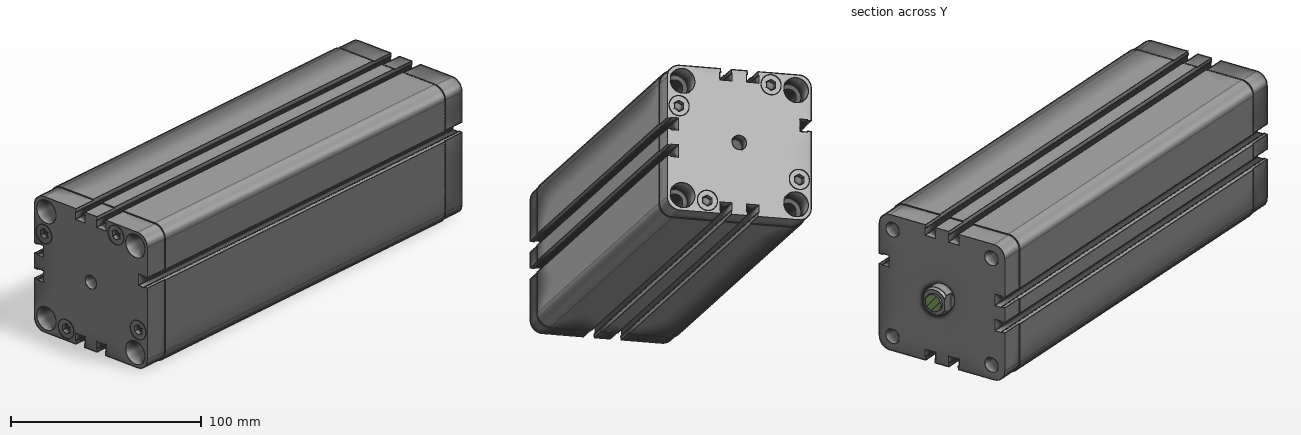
import cadquery as cq
import math

TOTAL_LENGTH = 281.5
TUBE_WIDTH = 80.0
CAP_STEP = 0.5
CAP_LENGTH = 13.8
CORNER_RADIUS = 7.3

ROD_EXPOSED = 31.5
ROD_DIAMETER = 16.0
THREAD_DIAMETER = 12.0
NECK_DIAMETER = 10.0
TIP_CHAMFER_LENGTH = 2.8
THREAD_LENGTH = 21.7
THREAD_END_CHAMFER = 0.8
NECK_LENGTH = 2.5
ROD_CHAMFER_LENGTH = 1.7
ROD_CHAMFER_DEPTH = 0.8
WRENCH_WIDTH = 13.0
WRENCH_LENGTH = 6.0

SLOT_OFFSET = 7.3
SENSOR_SLOT_OFFSET = 12.0
SLOT_MOUTH = 5.5
SLOT_MOUTH_OUTER = 6.2
SLOT_WIDTH = 6.8
SLOT_DEPTH = 6.8
SLOT_LIP = 2.5

HOLE_SPACING = 62.2
HOLE_DIAMETER = 8.5
COUNTERBORE_DIAMETER = 13.5
COUNTERBORE_DEPTH = CAP_LENGTH

SCREW_FROM_CENTRE = 33.0
SCREW_SIDE_OFFSET = 17.5
SCREW_RECESS_DIAMETER = 11.0
SCREW_RECESS_DEPTH = 0.3
SOCKET_WIDTH = 5.0
SOCKET_DEPTH = 3.5

CENTRE_HOLE_DIAMETER = 8.0
CENTRE_HOLE_DEPTH = 8.5

BACK = -TOTAL_LENGTH / 2
TIP = TOTAL_LENGTH / 2
FRONT = TIP - ROD_EXPOSED
BODY_LENGTH = FRONT - BACK
HALF_WIDTH = TUBE_WIDTH / 2


def section_plane(y):
    """Workplane across the length at Y = y, with local x = X, local y = Z and normal = -Y."""
    return cq.Workplane("XZ", origin=(0, y, 0))


def rounded_bar(width, radius, start, end):
    bar = section_plane(start).rect(width, width).extrude(start - end)
    return bar.edges("|Y").fillet(radius)


def make_body():
    cap_width = TUBE_WIDTH - 2 * CAP_STEP
    caps = rounded_bar(cap_width, CORNER_RADIUS - CAP_STEP, BACK, FRONT)
    tube = rounded_bar(TUBE_WIDTH, CORNER_RADIUS, BACK + CAP_LENGTH, FRONT - CAP_LENGTH)
    return caps.union(tube)


def slot_cutter(offset, face_angle):
    """T-slot of the +Z face at X = offset, turned about Y to another face."""
    floor = HALF_WIDTH - SLOT_DEPTH
    lip_inside = HALF_WIDTH - SLOT_LIP
    chamber = SLOT_WIDTH / 2
    mouth = SLOT_MOUTH / 2
    mouth_outer = SLOT_MOUTH_OUTER / 2
    cutter = (
        section_plane(BACK)
        .moveTo(offset - chamber, floor)
        .lineTo(offset + chamber, floor)
        .lineTo(offset + chamber, lip_inside)
        .lineTo(offset + mouth, lip_inside)
        .lineTo(offset + mouth_outer, HALF_WIDTH)
        .lineTo(offset - mouth_outer, HALF_WIDTH)
        .lineTo(offset - mouth, lip_inside)
        .lineTo(offset - chamber, lip_inside)
        .close()
        .extrude(-BODY_LENGTH)
    )
    return cutter.rotate((0, 0, 0), (0, 1, 0), face_angle)


def cut_slots(body):
    for face_angle in (0, 180, 270):
        for offset in (-SLOT_OFFSET, SLOT_OFFSET):
            body = body.cut(slot_cutter(offset, face_angle))
    return body.cut(slot_cutter(-SENSOR_SLOT_OFFSET, 90))


def cut_mounting_holes(body):
    """Holes through the full length, counterbored from the -Y face."""
    for diameter, depth in ((HOLE_DIAMETER, BODY_LENGTH), (COUNTERBORE_DIAMETER, COUNTERBORE_DEPTH)):
        corners = section_plane(BACK).rect(HOLE_SPACING, HOLE_SPACING, forConstruction=True).vertices()
        body = body.cut(corners.circle(diameter / 2).extrude(-depth))
    return body


def cut_cap_screws(body):
    across_corners = SOCKET_WIDTH / math.cos(math.pi / 6)
    centres = (
        (SCREW_SIDE_OFFSET, SCREW_FROM_CENTRE),
        (SCREW_FROM_CENTRE, -SCREW_SIDE_OFFSET),
        (-SCREW_SIDE_OFFSET, -SCREW_FROM_CENTRE),
        (-SCREW_FROM_CENTRE, SCREW_SIDE_OFFSET),
    )
    heads = section_plane(BACK).pushPoints(centres)
    recesses = heads.circle(SCREW_RECESS_DIAMETER / 2).extrude(-SCREW_RECESS_DEPTH)
    socket = section_plane(BACK).transformed(rotate=(0, 0, 30)).polygon(6, across_corners)
    socket = socket.extrude(-SCREW_RECESS_DEPTH - SOCKET_DEPTH)
    for x, z in centres:
        recesses = recesses.union(socket.translate((x, 0, z)))
    return body.cut(recesses)


def cut_centre_hole(body):
    hole = section_plane(BACK).circle(CENTRE_HOLE_DIAMETER / 2).extrude(-CENTRE_HOLE_DEPTH)
    return body.cut(hole)


def make_rod():
    neck_radius = NECK_DIAMETER / 2
    thread_radius = THREAD_DIAMETER / 2
    rod_radius = ROD_DIAMETER / 2
    thread_end = TIP - THREAD_LENGTH
    shoulder = thread_end - NECK_LENGTH
    root = FRONT - CAP_LENGTH
    rod = (
        cq.Workplane("XY")
        .moveTo(0, TIP)
        .lineTo(neck_radius, TIP)
        .lineTo(thread_radius, TIP - TIP_CHAMFER_LENGTH)
        .lineTo(thread_radius, thread_end + THREAD_END_CHAMFER)
        .lineTo(neck_radius, thread_end)
        .lineTo(neck_radius, shoulder)
        .lineTo(rod_radius - ROD_CHAMFER_DEPTH, shoulder)
        .lineTo(rod_radius, shoulder - ROD_CHAMFER_LENGTH)
        .lineTo(rod_radius, root)
        .lineTo(0, root)
        .close()
        .revolve(360, (0, 0, 0), (0, 1, 0))
    )
    flat = WRENCH_WIDTH / 2
    flat_end = shoulder - WRENCH_LENGTH
    runout = rod_radius - flat
    flat_cutter = (
        cq.Workplane("XY", origin=(0, 0, -rod_radius))
        .moveTo(flat, shoulder)
        .lineTo(flat, flat_end)
        .lineTo(rod_radius, flat_end - runout)
        .lineTo(rod_radius, shoulder)
        .close()
        .extrude(ROD_DIAMETER)
    )
    return rod.cut(flat_cutter).cut(flat_cutter.mirror("YZ"))


body = make_body()
body = cut_slots(body)
body = cut_mounting_holes(body)
body = cut_cap_screws(body)
body = cut_centre_hole(body)
result = body.union(make_rod())